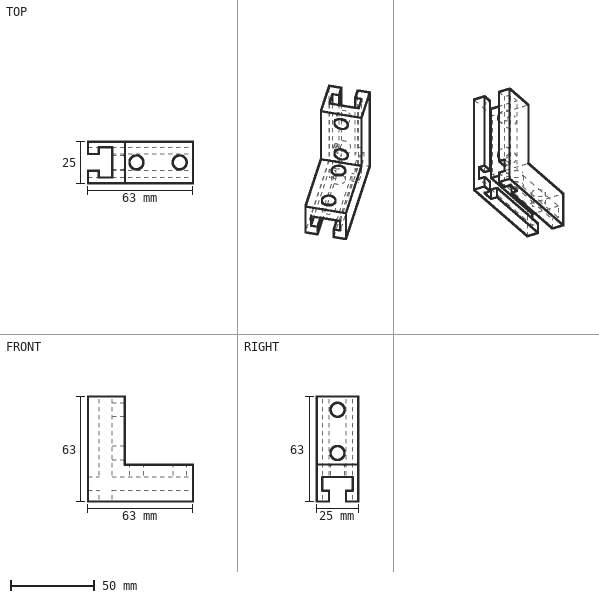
import cadquery as cq

length = 63.0
width = 25.0
leg_thickness = 22.1
lip_thickness = 6.55
cavity_floor = 14.55
mouth_width = 9.95
cavity_width = 18.0
hole_diameter = 8.25
hole_end_distance = 8.05
hole_spacing = 25.9

outer_hole = length - hole_end_distance
hole_positions = (outer_hole - hole_spacing, outer_hole)


def box(x_size, y_size, z_size, x_start=0, z_start=0):
    """Box centred on Y, starting at the given X and Z."""
    return (
        cq.Workplane("XY")
        .box(x_size, y_size, z_size, centered=(False, True, False))
        .translate((x_start, 0, z_start))
    )


def l_body():
    upright = box(leg_thickness, width, length)
    foot = box(length, width, leg_thickness)
    return upright.union(foot)


def upright_slot():
    """T-slot open on the -X face, running the full height."""
    mouth = box(cavity_floor, mouth_width, length)
    cavity = box(cavity_floor - lip_thickness, cavity_width, length, x_start=lip_thickness)
    return mouth.union(cavity)


def foot_slot():
    """T-slot open on the bottom face, running the full length."""
    mouth = box(length, mouth_width, cavity_floor)
    cavity = box(length, cavity_width, cavity_floor - lip_thickness, z_start=lip_thickness)
    return mouth.union(cavity)


def leg_holes(plane, positions):
    """Round holes through one leg, along the normal of the plane."""
    return (
        cq.Workplane(plane)
        .pushPoints(positions)
        .circle(hole_diameter / 2)
        .extrude(leg_thickness)
    )


result = l_body().cut(upright_slot()).cut(foot_slot())
result = result.cut(leg_holes("XY", [(x, 0) for x in hole_positions]))
result = result.cut(leg_holes("YZ", [(0, z) for z in hole_positions]))